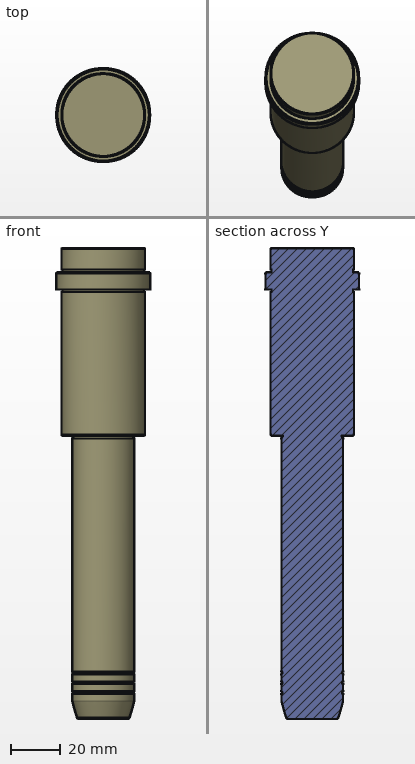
import cadquery as cq

total_length = 190.0
head_length = 75.8
head_bottom = total_length - head_length

shaft_radius = 12.5
head_radius = 17.0
collar_radius = 19.0

collar_bottom = 173.3
collar_top = 180.3
collar_chamfer = 0.5
relief_width = 1.0
relief_depth = 0.4

head_chamfer = 0.5
top_chamfer = 0.4
neck_length = 1.0
neck_radius = 12.0

groove_count = 3
groove_pitch = 4.0
first_groove_bottom = 10.0
groove_width = 1.1
groove_depth = 0.5

taper_length = 7.2
taper_mid_height = 3.6
taper_mid_radius = 11.5
tip_radius = 10.6
tip_chamfer = 0.5


def cylinder(radius, bottom, top):
    """Solid cylinder on the Z axis between two heights."""
    return cq.Workplane("XY").workplane(offset=bottom).circle(radius).extrude(top - bottom)


def ring_groove(outer_radius, depth, bottom, width):
    """Ring of material to remove from a cylinder of the given radius."""
    outer = cylinder(outer_radius + depth, bottom, bottom + width)
    return outer.cut(cylinder(outer_radius - depth, bottom, bottom + width))


def v_groove(bottom):
    """Triangular ring to remove from the shaft, pointing at the Z axis."""
    return (
        cq.Workplane("XZ")
        .moveTo(shaft_radius, bottom)
        .lineTo(shaft_radius - groove_depth, bottom + groove_width / 2)
        .lineTo(shaft_radius, bottom + groove_width)
        .close()
        .revolve(360, (0, 0, 0), (0, 1, 0))
    )


def make_shaft():
    """Shaft with a bulged taper and chamfered tip, grooves and a neck."""
    neck_bottom = head_bottom - neck_length
    shaft = (
        cq.Workplane("XZ")
        .lineTo(tip_radius - tip_chamfer, 0)
        .lineTo(tip_radius, tip_chamfer)
        .threePointArc((taper_mid_radius, taper_mid_height), (shaft_radius, taper_length))
        .lineTo(shaft_radius, neck_bottom)
        .lineTo(neck_radius, head_bottom)
        .lineTo(0, head_bottom)
        .close()
        .revolve(360, (0, 0, 0), (0, 1, 0))
    )
    for index in range(groove_count):
        bottom = first_groove_bottom + index * groove_pitch
        shaft = shaft.cut(v_groove(bottom))
    return shaft


def make_head():
    """Head cylinder with its collar and the two relief grooves."""
    head = cylinder(head_radius, head_bottom, total_length).faces("<Z").chamfer(head_chamfer)
    head = head.faces(">Z").chamfer(top_chamfer)
    for bottom in (collar_bottom - relief_width, collar_top):
        head = head.cut(ring_groove(head_radius, relief_depth, bottom, relief_width))
    collar = cylinder(collar_radius, collar_bottom, collar_top).faces(">Z").chamfer(collar_chamfer)
    return head.union(collar)


result = make_shaft().union(make_head())